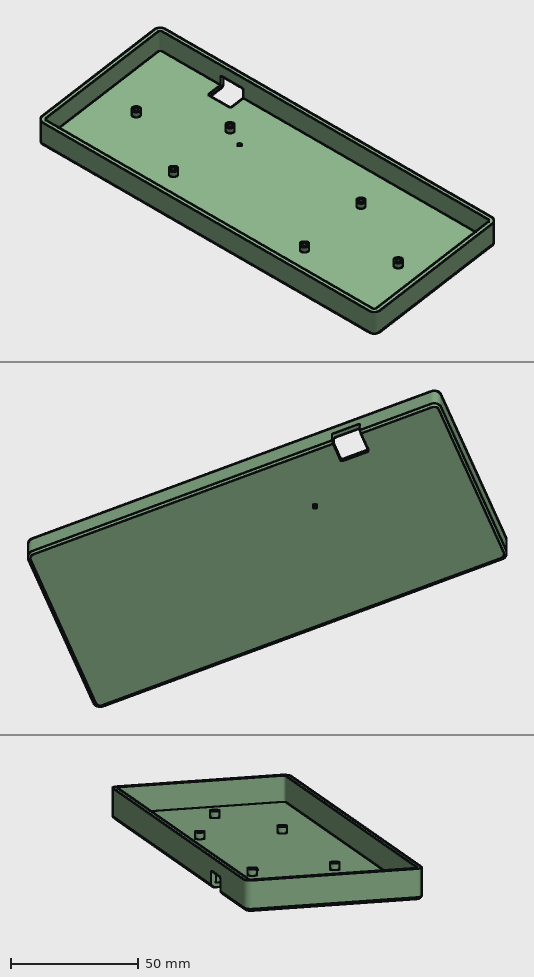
import cadquery as cq

length = 175.2
width = 73.2
height = 12.5
wall = 2.0
floor = 2.0
corner_radius = 3.0
inner_radius = corner_radius - wall
bottom_chamfer = 1.0

standoff_diameter = 3.7
standoff_height = 2.6
bore_diameter = 2.0
inner_standoff_x = 34.0
outer_standoff_x = 2 * inner_standoff_x
standoff_y = inner_standoff_x / 2

opening_width = 11.7
opening_center_x = -48.4
opening_front_y = 27.2
opening_top = floor + 4.9
opening_radius = 0.7

floor_hole_diameter = 1.8
floor_hole_position = (-25.5, 13.0)


def make_tray():
    body = (
        cq.Workplane("XY")
        .rect(length, width)
        .extrude(height)
        .edges("|Z")
        .fillet(corner_radius)
        .faces("<Z")
        .chamfer(bottom_chamfer)
    )
    cavity = (
        cq.Workplane("XY", origin=(0, 0, floor))
        .rect(length - 2 * wall, width - 2 * wall)
        .extrude(height - floor)
        .edges("|Z")
        .fillet(inner_radius)
    )
    return body.cut(cavity)


def make_standoffs():
    positions = [(side * outer_standoff_x, 0) for side in (-1, 1)]
    for x_side in (-1, 1):
        for y_side in (-1, 1):
            positions.append((x_side * inner_standoff_x, y_side * standoff_y))
    base = cq.Workplane("XY", origin=(0, 0, floor)).pushPoints(positions)
    posts = base.circle(standoff_diameter / 2).extrude(standoff_height)
    bores = base.circle(bore_diameter / 2).extrude(standoff_height)
    return posts.cut(bores)


def make_connector_opening():
    depth = width / 2 - opening_front_y
    return (
        cq.Workplane("XY")
        .center(opening_center_x, opening_front_y + depth / 2)
        .rect(opening_width, depth)
        .extrude(opening_top)
        .edges("(|Z and <Y) or (|Y and >Z)")
        .fillet(opening_radius)
    )


def make_floor_hole():
    return (
        cq.Workplane("XY")
        .center(*floor_hole_position)
        .circle(floor_hole_diameter / 2)
        .extrude(floor)
    )


result = make_tray().union(make_standoffs())
result = result.cut(make_connector_opening()).cut(make_floor_hole())